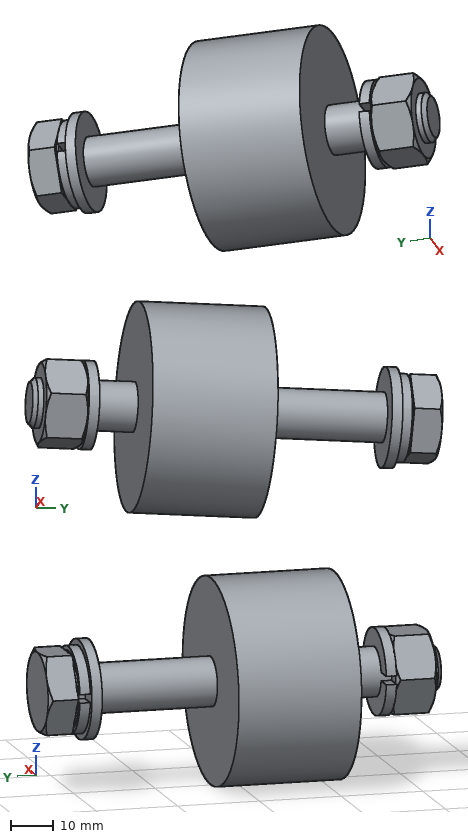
import cadquery as cq
import math

total_length = 97.5
tip_length = 2.4
nut_height = 10.0
washer_thickness = 2.5
roller_gap = 10.0
roller_width = 30.0
head_height = 7.5
collar_height = 0.5

roller_diameter = 50.0
shank_diameter = 12.0
tip_chamfer = 1.1
hex_flats = 19.0
hex_corner_radius = hex_flats / 2 / math.cos(math.pi / 6)
hex_bevel_angle = 30.0
collar_diameter = 19.0
lock_washer_diameter = 21.1
lock_washer_slit = 2.0
flat_washer_diameter = 24.0

nut_start = tip_length
front_lock_start = nut_start + nut_height
roller_start = front_lock_start + washer_thickness + roller_gap
collar_start = total_length - head_height
rear_lock_start = collar_start - washer_thickness
flat_washer_start = rear_lock_start - washer_thickness


def disc(diameter, start, length):
    """Cylinder about the Y axis, running from start towards +Y."""
    plane = cq.Workplane("XZ", origin=(0, start, 0))
    return plane.circle(diameter / 2).extrude(-length)


def bevel_cone(start, length, bevel_start, bevel_end):
    """Round envelope that bevels the corners of a hexagon at the chosen ends."""
    face_radius = hex_flats / 2
    bevel_depth = (hex_corner_radius - face_radius) * math.tan(math.radians(hex_bevel_angle))
    end = start + length
    outline = [(0, start)]
    if bevel_start:
        outline += [(face_radius, start), (hex_corner_radius, start + bevel_depth)]
    else:
        outline += [(hex_corner_radius, start)]
    if bevel_end:
        outline += [(hex_corner_radius, end - bevel_depth), (face_radius, end)]
    else:
        outline += [(hex_corner_radius, end)]
    outline += [(0, end)]
    profile = cq.Workplane("XY").polyline(outline).close()
    return profile.revolve(360, (0, 0, 0), (0, 1, 0))


def hexagon(start, length, bevel_start, bevel_end):
    """Hexagonal prism with two corners on the X axis and beveled ends."""
    plane = cq.Workplane("XZ", origin=(0, start, 0))
    prism = plane.polygon(6, 2 * hex_corner_radius).extrude(-length)
    return prism.intersect(bevel_cone(start, length, bevel_start, bevel_end))


def lock_washer(start):
    """Split ring washer with its slit on the -X side."""
    ring = disc(lock_washer_diameter, start, washer_thickness)
    slit = cq.Workplane("XY").box(
        lock_washer_diameter, washer_thickness, lock_washer_slit,
        centered=(True, False, True),
    )
    return ring.cut(slit.translate((-lock_washer_diameter / 2, start, 0)))


shank = disc(shank_diameter, 0, total_length - collar_height).faces("<Y").chamfer(tip_chamfer)
nut = hexagon(nut_start, nut_height, True, True)
roller = disc(roller_diameter, roller_start, roller_width)
flat_washer = disc(flat_washer_diameter, flat_washer_start, washer_thickness)
collar = disc(collar_diameter, collar_start, collar_height)
head = hexagon(collar_start + collar_height, head_height - collar_height, False, True)

result = (
    shank.union(nut)
    .union(lock_washer(front_lock_start))
    .union(roller)
    .union(flat_washer)
    .union(lock_washer(rear_lock_start))
    .union(collar)
    .union(head)
)